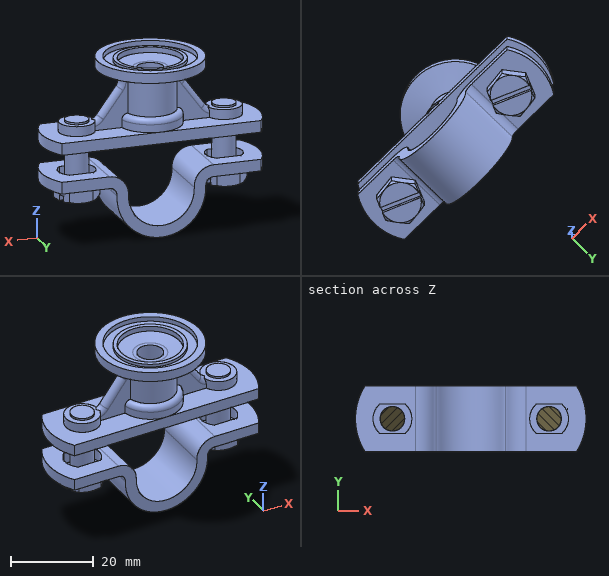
import cadquery as cq
import math


length = 56.0
width = 16.0
thickness = 3.0
end_radius = 15.0

clamp_bore_radius = 8.45
clamp_outer_radius = clamp_bore_radius + thickness
clamp_top_z = 5.55
bend_inner_radius = 1.95
bend_outer_radius = bend_inner_radius + thickness
bend_z = clamp_top_z - bend_outer_radius
bend_center_distance = clamp_bore_radius + bend_outer_radius
bend_x = math.sqrt(bend_center_distance**2 - bend_z**2)
clamp_underside_z = clamp_top_z - thickness

screw_x = 19.0
screw_diameter = 6.0
screw_protrusion = 0.5
head_across_flats = 10.1
head_height = 4.05
head_turn = -7.0
head_chamfer_angle = 30.0
driver_slot_width = 1.35
driver_slot_depth = 1.55
clamp_hole_radius = 4.7
clamp_hole_width = 7.05

plate_bottom_z = 12.4
plate_top_z = plate_bottom_z + thickness
collar_radius = 4.5
collar_height = 2.5
collar_top_z = plate_top_z + collar_height

base_radius = 8.0
base_height = 3.5
neck_radius = 6.5
base_round = base_radius - neck_radius
disc_radius = 13.5
disc_top_z = 32.45
rim_height = 2.6
disc_depth = 4.35

bore_radius = 3.25
seat_radius = 4.25
seat_depth = 2.85
dish_radius = 8.0
dish_wall_depth = 1.9
land_radius = 9.0
land_depth = 0.5
groove_radius = 11.5
groove_depth = 1.3

rib_thickness = 3.0
rib_core_depth = 2.25
rib_lean = 36.6
rib_top_arc_radius = 2.0
rib_top_arc_x = 10.35
rib_top_arc_z = 27.0
rib_foot_arc_radius = 3.0
rib_foot_z = 17.75


def strap_blank(bottom_z, height):
    """Bar with parallel sides and rounded ends, extruded upwards."""
    side_y = width / 2
    end_drop = end_radius - math.sqrt(end_radius**2 - side_y**2)
    corner_x = length / 2 - end_drop
    return (
        cq.Workplane("XY", origin=(0, 0, bottom_z))
        .moveTo(-corner_x, -side_y)
        .lineTo(corner_x, -side_y)
        .threePointArc((length / 2, 0), (corner_x, side_y))
        .lineTo(-corner_x, side_y)
        .threePointArc((-length / 2, 0), (-corner_x, -side_y))
        .close()
        .extrude(height)
    )


def make_clamp():
    """Strap bent into a half-round saddle, with a flatted hole for each screw."""
    saddle_end_angle = math.asin(bend_z / bend_center_distance)
    bend_mid_angle = (math.pi / 2 - saddle_end_angle) / 2

    def saddle_end(radius):
        return (radius * math.cos(saddle_end_angle), radius * math.sin(saddle_end_angle))

    def bend_mid(radius):
        return (bend_x - radius * math.cos(bend_mid_angle), bend_z + radius * math.sin(bend_mid_angle))

    def mirrored(point):
        return (-point[0], point[1])

    inner_end = saddle_end(clamp_bore_radius)
    outer_end = saddle_end(clamp_outer_radius)
    outer_bend_mid = bend_mid(bend_outer_radius)
    inner_bend_mid = bend_mid(bend_inner_radius)
    profile = (
        cq.Workplane("XZ")
        .moveTo(-length / 2, clamp_top_z)
        .lineTo(-bend_x, clamp_top_z)
        .threePointArc(mirrored(outer_bend_mid), mirrored(inner_end))
        .threePointArc((0, -clamp_bore_radius), inner_end)
        .threePointArc(outer_bend_mid, (bend_x, clamp_top_z))
        .lineTo(length / 2, clamp_top_z)
        .lineTo(length / 2, clamp_underside_z)
        .lineTo(bend_x, clamp_underside_z)
        .threePointArc(inner_bend_mid, outer_end)
        .threePointArc((0, -clamp_outer_radius), mirrored(outer_end))
        .threePointArc(mirrored(inner_bend_mid), (-bend_x, clamp_underside_z))
        .lineTo(-length / 2, clamp_underside_z)
        .close()
    )
    bent_strap = profile.extrude(width / 2, both=True)
    outline = strap_blank(-clamp_outer_radius, clamp_outer_radius + clamp_top_z)
    screw_points = [(-screw_x, 0), (screw_x, 0)]
    hole_base = cq.Workplane("XY", origin=(0, 0, clamp_underside_z)).pushPoints(screw_points)
    round_holes = hole_base.circle(clamp_hole_radius).extrude(thickness)
    flats = hole_base.rect(2 * clamp_hole_radius, clamp_hole_width).extrude(thickness)
    return bent_strap.intersect(outline).cut(round_holes.intersect(flats))


def make_rib():
    """Rib on the +X side: a round-nosed section swept along the ridge, filled by a flat core."""
    lean = math.radians(rib_lean)
    level = math.pi / 2
    half_thickness = rib_thickness / 2
    foot_arc_z = rib_foot_z + rib_foot_arc_radius
    radius_step = rib_foot_arc_radius - rib_top_arc_radius
    arc_drop = rib_top_arc_z - foot_arc_z
    foot_arc_x = rib_top_arc_x + (radius_step + math.sin(lean) * arc_drop) / math.cos(lean)

    def on_top_arc(angle, depth=0):
        radius = rib_top_arc_radius + depth
        return (rib_top_arc_x - radius * math.cos(angle), rib_top_arc_z + radius * math.sin(angle))

    def on_foot_arc(angle, depth=0):
        radius = rib_foot_arc_radius + depth
        return (foot_arc_x - radius * math.cos(angle), foot_arc_z - radius * math.sin(angle))

    ridge = (
        cq.Workplane("XZ")
        .moveTo(screw_x, rib_foot_z)
        .lineTo(*on_foot_arc(level))
        .threePointArc(on_foot_arc((lean + level) / 2), on_foot_arc(lean))
        .lineTo(*on_top_arc(-lean))
        .threePointArc(on_top_arc((level - lean) / 2), on_top_arc(level))
    )
    nose = (
        cq.Workplane("YZ", origin=(screw_x, 0, rib_foot_z))
        .moveTo(-half_thickness, -rib_thickness)
        .lineTo(half_thickness, -rib_thickness)
        .lineTo(half_thickness, -half_thickness)
        .threePointArc((0, 0), (-half_thickness, -half_thickness))
        .close()
        .sweep(ridge)
    )
    core = (
        cq.Workplane("XZ")
        .polyline([
            (bore_radius, plate_bottom_z),
            (foot_arc_x, plate_bottom_z),
            on_foot_arc(level, rib_core_depth),
            on_foot_arc(lean, rib_core_depth),
            on_top_arc(-lean, rib_core_depth),
            on_top_arc(0, rib_core_depth),
            (on_top_arc(0, rib_core_depth)[0], disc_top_z - rim_height),
            (bore_radius, disc_top_z - rim_height),
        ])
        .close()
        .extrude(half_thickness, both=True)
    )
    return nose.union(core)


def make_neck_and_disc():
    """Turned neck with a rounded base, flaring into the disc."""
    base_top_z = plate_top_z + base_height
    round_z = base_top_z - base_round
    diagonal = math.sqrt(0.5)
    return (
        cq.Workplane("XZ")
        .moveTo(0, plate_top_z)
        .lineTo(base_radius, plate_top_z)
        .lineTo(base_radius, round_z)
        .threePointArc(
            (neck_radius + base_round * diagonal, round_z + base_round * diagonal),
            (neck_radius, base_top_z),
        )
        .lineTo(neck_radius, disc_top_z - disc_depth)
        .lineTo(disc_radius, disc_top_z - rim_height)
        .lineTo(disc_radius, disc_top_z)
        .lineTo(0, disc_top_z)
        .close()
        .revolve(360, (0, 0, 0), (0, 1, 0))
    )


def make_dish_and_bore():
    """Space removed from the disc: groove, recessed land, dish, seat and through bore."""
    return (
        cq.Workplane("XZ")
        .moveTo(0, plate_bottom_z)
        .lineTo(bore_radius, plate_bottom_z)
        .lineTo(bore_radius, disc_top_z - seat_depth)
        .lineTo(seat_radius, disc_top_z - seat_depth)
        .lineTo(dish_radius, disc_top_z - dish_wall_depth)
        .lineTo(dish_radius, disc_top_z - land_depth)
        .lineTo(land_radius, disc_top_z - land_depth)
        .lineTo(land_radius, disc_top_z - groove_depth)
        .lineTo(groove_radius, disc_top_z - groove_depth)
        .lineTo(groove_radius, disc_top_z)
        .lineTo(0, disc_top_z)
        .close()
        .revolve(360, (0, 0, 0), (0, 1, 0))
    )


def make_bracket():
    """Plate with screw collars, ribbed neck and dished disc."""
    screw_points = [(-screw_x, 0), (screw_x, 0)]
    collars = (
        cq.Workplane("XY", origin=(0, 0, plate_top_z))
        .pushPoints(screw_points)
        .circle(collar_radius)
        .extrude(collar_height)
    )
    screw_holes = (
        cq.Workplane("XY", origin=(0, 0, plate_bottom_z))
        .pushPoints(screw_points)
        .circle(screw_diameter / 2)
        .extrude(disc_top_z - plate_bottom_z)
    )
    rib = make_rib()
    return (
        strap_blank(plate_bottom_z, thickness)
        .union(collars)
        .union(make_neck_and_disc())
        .union(rib)
        .union(rib.mirror("YZ"))
        .cut(make_dish_and_bore())
        .cut(screw_holes)
    )


def make_screw(x):
    """Hexagon-head screw with a driver slot, head downwards."""
    head_bottom_z = clamp_underside_z - head_height
    corner_radius = head_across_flats / 2 / math.cos(math.radians(30))
    chamfer_height = (corner_radius - head_across_flats / 2) * math.tan(math.radians(head_chamfer_angle))
    slot_turn = head_turn + 30
    hexagon = (
        cq.Workplane("XY", origin=(0, 0, head_bottom_z))
        .transformed(rotate=(0, 0, head_turn))
        .polygon(6, 2 * corner_radius)
        .extrude(head_height)
    )
    chamfer_envelope = (
        cq.Workplane("XZ")
        .moveTo(0, head_bottom_z)
        .lineTo(head_across_flats / 2, head_bottom_z)
        .lineTo(corner_radius, head_bottom_z + chamfer_height)
        .lineTo(corner_radius, clamp_underside_z)
        .lineTo(0, clamp_underside_z)
        .close()
        .revolve(360, (0, 0, 0), (0, 1, 0))
    )
    driver_slot = (
        cq.Workplane("XY", origin=(0, 0, head_bottom_z))
        .transformed(rotate=(0, 0, slot_turn))
        .rect(2 * corner_radius, driver_slot_width)
        .extrude(driver_slot_depth)
    )
    shank = (
        cq.Workplane("XY", origin=(0, 0, clamp_underside_z))
        .circle(screw_diameter / 2)
        .extrude(collar_top_z + screw_protrusion - clamp_underside_z)
    )
    screw = hexagon.intersect(chamfer_envelope).cut(driver_slot).union(shank)
    return screw.translate((x, 0, 0))


bracket = make_bracket()
clamp = make_clamp()
screws = [make_screw(x) for x in (-screw_x, screw_x)]

result = cq.Compound.makeCompound([bracket.val(), clamp.val(), *[screw.val() for screw in screws]])